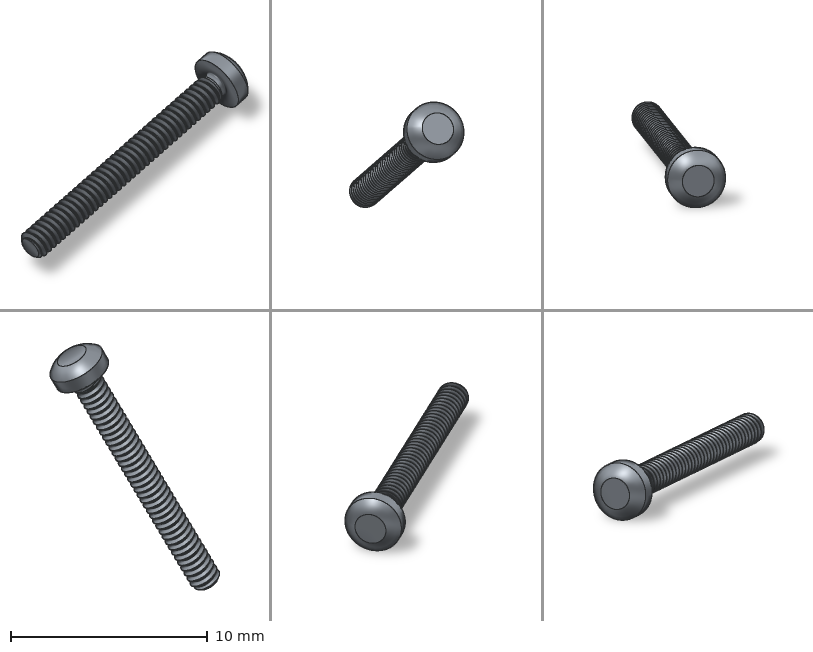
import cadquery as cq
import math

total_length = 15.2
head_diameter = 3.0
head_height = 1.2
shank_length = total_length - head_height

rim_height = 0.71
head_top_diameter = 1.64
dome_bulge = 0.06

neck_diameter = 1.37
neck_length = 0.33
neck_fillet = 0.09

thread_diameter = 1.6
thread_depth = 0.21
pitch = 0.35
flank_angle = math.radians(30)
crest_width = pitch / 8
runout_length = 0.21
tip_chamfer = thread_depth

groove_start = 0.65
groove_start_angle = 217
groove_clearance = 0.008
lead_in_rise = 0.12

head_radius = head_diameter / 2
head_top_radius = head_top_diameter / 2
neck_radius = neck_diameter / 2
thread_radius = thread_diameter / 2
root_radius = thread_radius - thread_depth


def revolve_about_y(outline):
    return outline.close().revolve(360, (0, 0, 0), (0, 1, 0))


def make_head():
    rise = head_height - rim_height
    run = head_radius - head_top_radius
    chord = math.hypot(run, rise)
    dome_middle = (
        (head_radius + head_top_radius) / 2 + dome_bulge * rise / chord,
        (rim_height + head_height) / 2 + dome_bulge * run / chord,
    )
    outline = (
        cq.Workplane("XY")
        .lineTo(head_radius, 0)
        .lineTo(head_radius, rim_height)
        .threePointArc(dome_middle, (head_top_radius, head_height))
        .lineTo(0, head_height)
    )
    return revolve_about_y(outline)


def make_shank_blank():
    outline = (
        cq.Workplane("XY")
        .lineTo(neck_radius + neck_fillet, 0)
        .radiusArc((neck_radius, -neck_fillet), -neck_fillet)
        .lineTo(neck_radius, -neck_length)
        .lineTo(thread_radius, -neck_length - runout_length)
        .lineTo(thread_radius, -shank_length + tip_chamfer)
        .lineTo(thread_radius - tip_chamfer, -shank_length)
        .lineTo(0, -shank_length)
    )
    return revolve_about_y(outline)


def groove_profile():
    outer_radius = thread_radius + groove_clearance
    outer_half_width = (pitch - crest_width) / 2 + groove_clearance * math.tan(flank_angle)
    root_half_width = (pitch - crest_width) / 2 - thread_depth * math.tan(flank_angle)
    return [
        (root_radius, -root_half_width),
        (outer_radius, -outer_half_width),
        (outer_radius, outer_half_width),
        (root_radius, root_half_width),
    ]


def ruled_faces(helices):
    following = helices[1:] + helices[:1]
    return [cq.Face.makeRuledSurface(one, other) for one, other in zip(helices, following)]


def end_face(corners):
    return cq.Face.makeFromWires(cq.Wire.makePolygon(corners, close=True))


def make_groove():
    profile = groove_profile()
    turn_count = math.ceil((shank_length - groove_start) / pitch) + 1

    one_turn = ruled_faces([
        cq.Wire.makeHelix(pitch, pitch, radius).translate(cq.Vector(0, 0, offset))
        for radius, offset in profile
    ])
    faces = [
        face.translate(cq.Vector(0, 0, turn * pitch))
        for turn in range(turn_count)
        for face in one_turn
    ]

    slant_pitch = math.hypot(pitch, lead_in_rise)
    taper = math.degrees(math.atan2(lead_in_rise, pitch))
    faces += ruled_faces([
        cq.Wire.makeHelix(slant_pitch, slant_pitch, radius, angle=taper)
        .rotate(cq.Vector(0, 0, 0), cq.Vector(1, 0, 0), 180)
        .translate(cq.Vector(0, 0, offset))
        for radius, offset in profile
    ])

    faces.append(end_face([(radius + lead_in_rise, 0, offset - pitch) for radius, offset in profile]))
    faces.append(end_face([(radius, 0, offset + turn_count * pitch) for radius, offset in profile]))

    groove = cq.Workplane(cq.Solid.makeSolid(cq.Shell.makeShell(faces)))
    groove = groove.rotate((0, 0, 0), (1, 0, 0), 90)
    groove = groove.rotate((0, 0, 0), (0, 1, 0), groove_start_angle)
    return groove.translate((0, -groove_start, 0))


shank = make_shank_blank().cut(make_groove())
result = make_head().union(shank)